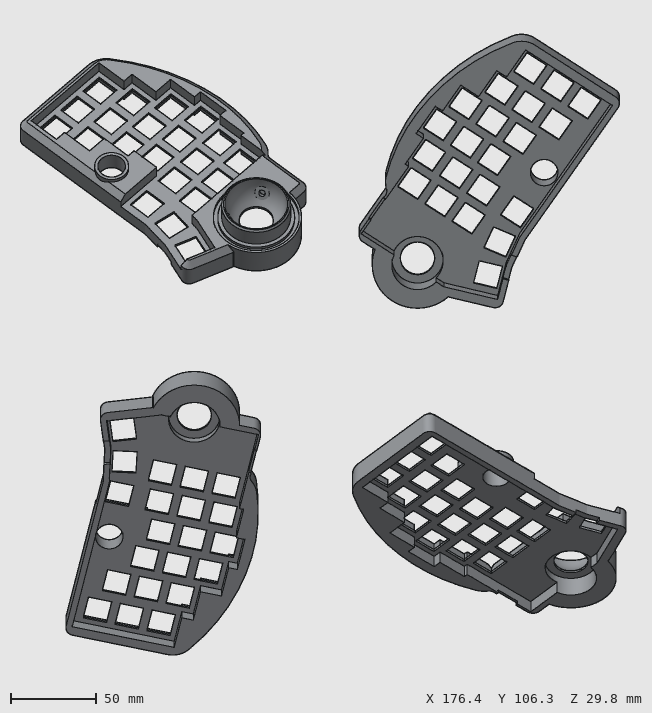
import cadquery as cq
import math

overall_length = 176.4
case_height = 17.6
plate_top = 9.5
plate_thickness = 1.5
plate_bottom = plate_top - plate_thickness
total_height = 29.8

front_y = 10.8
back_y = 93.6
right_x = 155.9
corner_radius = 5.0
edge_chamfer = 3.9
left_wall_top = (0, 72.5)
shoulder_end = (7.0, 84.6)
back_curve_middle = (39.1, 100.3)
back_curve_peak = (73.4, 106.3)
back_curve_end = (115.5, 99.5)
neck_start = (121.7, 95.0)
neck_end_x = 125.2

key_hole = 14.0
key_pitch = 19.0
key_margin = 10.0
first_column_x = 15.5
first_column_gap = 20.0
column_middle_y = (46.2, 53.0, 65.6, 70.7, 65.6, 63.1)
column_x = [first_column_x] + [
    first_column_x + first_column_gap + i * key_pitch for i in range(len(column_middle_y) - 1)
]
block_x = column_x[5] + key_margin

thumb_turn = 10
thumb_depth = 12.0
thumb_end_length = 26.0
thumb_recess_reach = 11.0
thumb_recess_end = key_pitch / 2 + thumb_recess_reach
cavity_wall = 3.5

notch_width = 15.2
notch_height = 2.1
port_left = 127.0

socket_x = 149.9
socket_y = 54.3
flange_radius = overall_length - socket_x
groove_outer_diameter = 50.0
groove_inner_diameter = 45.0
groove_depth = 2.0
cup_diameter = 40.4
cup_chamfer = 1.0
bowl_radius = 18.3
sensor_hole_diameter = 20.0
sensor_pocket_diameter = 30.0
sensor_pocket_top = 12.9

pad_diameter = 8.6
pad_backing = 1.0
pad_hole_diameter = 3.9
pad_hole_depth = 3.5
pad_slope = 31
pad_angles = (0, 120, 240)

encoder_x = 63.8
encoder_y = 23.1
collar_diameter = 20.0
collar_hole_diameter = 16.0
collar_top = 20.0


def along(start, angle, length, height=0.0):
    """Point at a length along a line falling by angle, and a height above that line."""
    a = math.radians(angle)
    return (
        start[0] + length * math.cos(a) + height * math.sin(a),
        start[1] - length * math.sin(a) + height * math.cos(a),
    )


first_bend = (column_x[4] + key_pitch / 2, front_y)
second_bend = along(first_bend, thumb_turn, key_pitch)
thumb_corner = along(second_bend, 2 * thumb_turn, thumb_end_length)
thumb_wall_rise = (right_x - thumb_corner[0]) / math.tan(math.radians(2 * thumb_turn))
thumb_wall_top = (right_x, thumb_corner[1] + thumb_wall_rise)
thumb_keys = [
    ((column_x[4], front_y + thumb_depth), 0),
    (along(first_bend, thumb_turn, key_pitch / 2, thumb_depth), thumb_turn),
    (along(second_bend, 2 * thumb_turn, key_pitch / 2, thumb_depth), 2 * thumb_turn),
]


def box(x0, x1, y0, y1, z0, z1):
    return cq.Workplane("XY").box(x1 - x0, y1 - y0, z1 - z0, centered=False).translate((x0, y0, z0))


def cylinder(x, y, diameter, z0, z1):
    return cq.Workplane("XY", origin=(x, y, z0)).circle(diameter / 2).extrude(z1 - z0)


def case_prism():
    prism = (
        cq.Workplane("XY")
        .moveTo(0, front_y)
        .lineTo(*left_wall_top)
        .tangentArcPoint(shoulder_end, relative=False)
        .threePointArc(back_curve_middle, back_curve_peak)
        .tangentArcPoint(back_curve_end, relative=False)
        .tangentArcPoint(neck_start, relative=False)
        .tangentArcPoint((neck_end_x, back_y), relative=False)
        .lineTo(right_x, back_y)
        .lineTo(*thumb_wall_top)
        .lineTo(*thumb_corner)
        .lineTo(*second_bend)
        .lineTo(*first_bend)
        .close()
        .extrude(case_height)
    )
    for x, y in ((0, front_y), (right_x, back_y), thumb_corner):
        prism = prism.edges(cq.selectors.NearestToPointSelector((x, y, case_height / 2))).fillet(corner_radius)
    return prism


def column_area(z0, z1):
    area = cq.Workplane("XY")
    reach = key_pitch + key_margin
    for x, y in zip(column_x, column_middle_y):
        area = area.union(box(x - key_margin, x + key_margin, y - reach, y + reach, z0, z1))
    return area


def plate_recess():
    """Space above the key plate; it runs out through the front edge at the thumb keys.

    Corners over a bend of the front edge lie on the line that halves the bend.
    """
    inner_depth = thumb_depth + key_margin
    bend = math.radians(thumb_turn / 2)
    bend_height = inner_depth / math.cos(bend)
    inner_bend = along(second_bend, 1.5 * thumb_turn, 0, bend_height)
    slope_drop = (inner_bend[0] - block_x) * math.tan(math.radians(thumb_turn))
    recess_left = column_x[4] - key_margin
    thumb_area = (
        cq.Workplane("XY", origin=(0, 0, plate_top))
        .polyline([
            (recess_left, -thumb_depth),
            (recess_left, column_middle_y[4]),
            (block_x, column_middle_y[5]),
            (block_x, inner_bend[1] + slope_drop),
            inner_bend,
            along(second_bend, 2 * thumb_turn, thumb_recess_end, inner_depth),
            along(second_bend, 2 * thumb_turn, thumb_recess_end, -thumb_depth),
        ])
        .close()
        .extrude(case_height)
    )
    return column_area(plate_top, case_height).union(thumb_area)


def lower_cavity():
    """Space below the key plate, open at the bottom and reaching under the front and trackball blocks."""
    inner_left = column_x[0] - key_margin
    inner_right = right_x - cavity_wall
    inner_back = column_middle_y[5] + key_pitch + key_margin
    bend_height = cavity_wall / math.cos(math.radians(thumb_turn / 2))
    end_x, _ = along(second_bend, 2 * thumb_turn, thumb_recess_end)
    end_height = (inner_right - end_x) / math.sin(math.radians(2 * thumb_turn))
    wide_area = (
        cq.Workplane("XY")
        .polyline([
            (inner_left, front_y + cavity_wall),
            along(first_bend, 0.5 * thumb_turn, 0, bend_height),
            along(second_bend, 1.5 * thumb_turn, 0, bend_height),
            along(second_bend, 2 * thumb_turn, thumb_recess_end, cavity_wall),
            along(second_bend, 2 * thumb_turn, thumb_recess_end, end_height),
            (inner_right, inner_back),
            (block_x, inner_back),
            (block_x, column_middle_y[0]),
            (inner_left, column_middle_y[0]),
        ])
        .close()
        .extrude(plate_bottom)
    )
    return column_area(0, plate_bottom).union(wide_area)


def key_cutters():
    cutter = box(-key_hole / 2, key_hole / 2, -key_hole / 2, key_hole / 2, 0, plate_top)
    cutters = cq.Workplane("XY")
    for x, y in zip(column_x, column_middle_y):
        for row in (-1, 0, 1):
            cutters = cutters.union(cutter.translate((x, y + row * key_pitch, 0)))
    for (x, y), turn in thumb_keys:
        cutters = cutters.union(cutter.rotate((0, 0, 0), (0, 0, 1), -turn).translate((x, y, 0)))
    return cutters


def cable_notch():
    depth = 2 * cavity_wall
    notch = box(-notch_width / 2, notch_width / 2, -depth, depth / 2, 0, notch_height)
    return notch.rotate((0, 0, 0), (0, 0, 1), -1.5 * thumb_turn).translate((*second_bend, 0))


def cable_port():
    return box(port_left, port_left + notch_width, back_y - cavity_wall, back_y, 0, notch_height)


def on_bowl_wall(solid, angle):
    """Place a solid built along +X from the bowl centre on the bowl wall."""
    return (
        solid.rotate((0, 0, 0), (0, 1, 0), pad_slope)
        .rotate((0, 0, 0), (0, 0, 1), angle)
        .translate((socket_x, socket_y, total_height))
    )


def add_socket(body):
    cup = cylinder(socket_x, socket_y, cup_diameter, plate_bottom, total_height)
    cup = cup.faces(">Z").chamfer(cup_chamfer)
    groove = cylinder(socket_x, socket_y, groove_outer_diameter, case_height - groove_depth, case_height).cut(
        cylinder(socket_x, socket_y, groove_inner_diameter, case_height - groove_depth, case_height)
    )
    bowl = cq.Workplane("XY").sphere(bowl_radius).translate((socket_x, socket_y, total_height))
    body = body.cut(groove).union(cup).cut(bowl)
    body = body.cut(cylinder(socket_x, socket_y, sensor_hole_diameter, 0, case_height))
    body = body.cut(cylinder(socket_x, socket_y, sensor_pocket_diameter, 0, sensor_pocket_top))

    pad_distance = math.sqrt(bowl_radius**2 - (pad_diameter / 2) ** 2)
    start = cq.Workplane("YZ", origin=(pad_distance, 0, 0))
    pad = start.circle(pad_diameter / 2).extrude(bowl_radius + pad_backing - pad_distance)
    hole = start.circle(pad_hole_diameter / 2).extrude(pad_hole_depth)
    for angle in pad_angles:
        body = body.union(on_bowl_wall(pad, angle)).cut(on_bowl_wall(hole, angle))
    return body


def add_encoder_collar(body):
    collar = cylinder(encoder_x, encoder_y, collar_diameter, plate_top, collar_top)
    return body.union(collar).cut(cylinder(encoder_x, encoder_y, collar_hole_diameter, 0, collar_top))


flange = cylinder(socket_x, socket_y, 2 * flange_radius, 0, case_height)
body = case_prism().faces(">Z").chamfer(edge_chamfer).union(flange)
body = body.cut(plate_recess()).cut(lower_cavity()).cut(key_cutters()).cut(cable_notch()).cut(cable_port())
result = add_encoder_collar(add_socket(body))